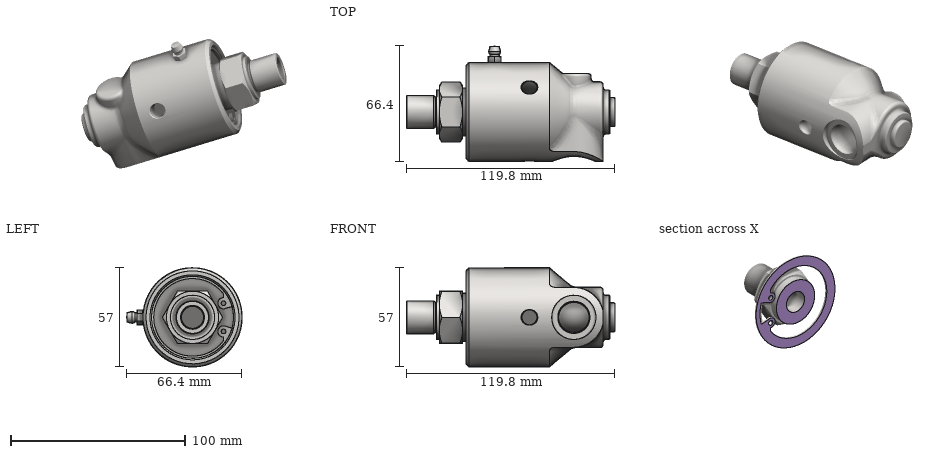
import cadquery as cq
import math


thread_end = 15.6
relief_start = 16.5
collar_start = 17.3
hex_start = 18.8
hex_end = 32.2
body_start = 34.1
cone_start = 82.1
body_end = 113.0
flange_end = 117.0
overall_length = 119.82
overall_width = 66.41

thread_diameter = 19.05
relief_diameter = 17.48
collar_diameter = 25.4
hex_across_flats = 30.0
hex_chamfer_length = 1.5
neck_diameter = 27.8
bore_diameter = 12.7
bore_chamfer = 0.5
tip_chamfer = 0.3

body_diameter = 57.0
body_chamfer = 1.8
rear_diameter = 34.8
cone_angle = 40.0
cone_blend_radius = 5.0
rear_round = 2.0

flange_diameter = 25.4
flange_base_round = 1.5
flange_chamfer = 0.7
stub_diameter = 16.8
stub_round = 1.0

port_x = 96.1
port_mouth_diameter = 18.5
port_taper = 1 / 16
spot_face_diameter = 25.4
spot_face_y = -25.3
shaft_diameter = 19.0
port_boss_half_width = 17.2
port_blend_radius = 5.0
back_boss_diameter = 20.0
back_boss_y = 22.2
back_boss_round = 2.0
back_boss_blend = 1.8

radial_hole_x = 70.6
radial_hole_diameter = 8.6
radial_hole_chamfer = 0.5
radial_hole_depth = 15.0
radial_hole_angles = (60.0, 180.0, 300.0)

recess_diameter = 47.07
recess_chamfer = 0.9
ring_setback = 1.5
ring_diameter = 50.75
ring_inner_diameter = 44.6
ring_thickness = 2.0
ring_lug_y = -17.8
ring_lug_z = 8.1
ring_lug_radius = 3.25
ring_hole_diameter = 2.64
ring_gap_half_angle = 15.3

fitting_x = 50.6
fitting_corner_diameter = 8.6
fitting_hex_top = 31.8
fitting_neck_top = 33.0
fitting_bulb_top = 34.9
fitting_top = 37.7
fitting_neck_diameter = 5.36
fitting_bulb_diameter = 6.9
fitting_stem_diameter = 5.0
fitting_ball_diameter = 2.0
fitting_stem_depth = 1.0
fitting_tip = overall_width - body_diameter / 2

skin_allowance = 10.0
edge_margin = 0.1

ring_start = body_start + ring_setback
recess_floor = ring_start + ring_thickness
body_radius = body_diameter / 2
rear_radius = rear_diameter / 2
cone_slope = math.tan(math.radians(cone_angle))
cone_end = cone_start + (body_radius - rear_radius) / cone_slope


def cylinder_x(diameter, start, end):
    """Cylinder on the main axis between two X stations."""
    return cq.Workplane("YZ").workplane(offset=start).circle(diameter / 2).extrude(end - start)


def cylinder_y(diameter, x, start, end):
    """Cylinder along Y at the given X, between two Y positions."""
    plane = cq.Plane(origin=(x, start, 0), xDir=(1, 0, 0), normal=(0, 1, 0))
    return cq.Workplane(plane).circle(diameter / 2).extrude(end - start)


def revolve_x(points):
    """Solid of revolution about the main axis from (x, radius) points."""
    return cq.Workplane("XY").polyline(points).close().revolve(360, (0, 0, 0), (1, 0, 0))


def make_oversize_core():
    """Body, cone and rear cylinder with the port boss blended in, all reaching past the body skin."""
    big_radius = body_radius + skin_allowance
    big_end = body_end + skin_allowance
    big_cone_start = cone_start - skin_allowance / cone_slope
    core = revolve_x([
        (body_start, 0),
        (body_start, big_radius),
        (big_cone_start, big_radius),
        (cone_end, rear_radius),
        (big_end, rear_radius),
        (big_end, 0),
    ])
    cone_foot = cq.selectors.BoxSelector(
        (cone_end - edge_margin, -big_radius, -big_radius),
        (cone_end + edge_margin, big_radius, big_radius))
    core = core.edges(cone_foot).fillet(cone_blend_radius)

    boss_plane = cq.Plane(origin=(port_x, 0, 0), xDir=(1, 0, 0), normal=(0, -1, 0))
    half_width = port_boss_half_width
    boss_back = body_start + body_chamfer - port_x
    boss = (
        cq.Workplane(boss_plane)
        .moveTo(boss_back, half_width)
        .lineTo(0, half_width)
        .threePointArc((half_width, 0), (0, -half_width))
        .lineTo(boss_back, -half_width)
        .close()
        .extrude(big_radius + skin_allowance)
    )
    core = core.union(boss)
    boss_foot = cq.selectors.BoxSelector(
        (big_cone_start, -big_radius, -big_radius),
        (big_end, -edge_margin, big_radius))
    return core.edges(boss_foot).edges("not |Y").fillet(port_blend_radius)


def make_core():
    """Outer shape of the body, without holes."""
    envelope = revolve_x([
        (body_start, 0),
        (body_start, body_radius - body_chamfer),
        (body_start + body_chamfer, body_radius),
        (body_end, body_radius),
        (body_end, 0),
    ])
    core = make_oversize_core().intersect(envelope)
    rear_rim = cq.selectors.BoxSelector(
        (body_end - edge_margin, -rear_radius, -rear_radius),
        (body_end + edge_margin, rear_radius, rear_radius))
    core = core.edges(rear_rim).fillet(rear_round)

    boss = cylinder_y(back_boss_diameter, port_x, 0, back_boss_y)
    boss = boss.faces(">Y").edges().fillet(back_boss_round)
    core = core.union(boss)
    boss_radius = back_boss_diameter / 2
    foot_top = back_boss_y - back_boss_round - edge_margin
    boss_foot = cq.selectors.BoxSelector(
        (port_x - boss_radius, rear_radius / 2, -boss_radius),
        (port_x + boss_radius, foot_top, boss_radius))
    return core.edges(boss_foot).fillet(back_boss_blend)


def cut_side_port(body):
    """Spot face and tapered port on -Y, opening onto the shaft inside the body."""
    spot_face = cylinder_y(spot_face_diameter, port_x, -body_radius, spot_face_y)
    mouth_radius = port_mouth_diameter / 2
    inner_radius = mouth_radius + spot_face_y * port_taper / 2
    port = (
        cq.Workplane("XY")
        .polyline([(0, spot_face_y), (mouth_radius, spot_face_y), (inner_radius, 0), (0, 0)])
        .close()
        .revolve(360, (0, 0, 0), (0, 1, 0))
        .translate((port_x, 0, 0))
    )
    shaft = cylinder_x(shaft_diameter, cone_start, body_end)
    return body.cut(spot_face).cut(port.cut(shaft))


def cut_radial_holes(body):
    """Blind holes with chamfered mouths, spread around the main axis."""
    hole_radius = radial_hole_diameter / 2
    mouth_radius = hole_radius + radial_hole_chamfer
    hole = (
        cq.Workplane("XY")
        .polyline([
            (0, body_radius - radial_hole_depth),
            (hole_radius, body_radius - radial_hole_depth),
            (hole_radius, body_radius - radial_hole_chamfer),
            (mouth_radius, body_radius),
            (0, body_radius),
        ])
        .close()
        .revolve(360, (0, 0, 0), (0, 1, 0))
        .translate((radial_hole_x, 0, 0))
    )
    for angle in radial_hole_angles:
        body = body.cut(hole.rotate((0, 0, 0), (1, 0, 0), angle))
    return body


def cut_recess(body):
    """Front recess with a chamfered mouth and the groove of the retaining ring."""
    recess_radius = recess_diameter / 2
    recess = revolve_x([
        (body_start, 0),
        (body_start, recess_radius + recess_chamfer),
        (body_start + recess_chamfer, recess_radius),
        (ring_start, recess_radius),
        (ring_start, ring_diameter / 2),
        (recess_floor, ring_diameter / 2),
        (recess_floor, 0),
    ])
    return body.cut(recess)


def make_retaining_ring():
    """Internal retaining ring, open toward -Y, with two lugs that carry plier holes."""
    plane = cq.Workplane("YZ").workplane(offset=ring_start)
    ring_radius = ring_diameter / 2
    opening = plane.circle(ring_inner_diameter / 2).extrude(ring_thickness)
    lug_side = plane.center(ring_lug_y - ring_radius, 0).rect(2 * ring_radius, ring_diameter)
    opening = opening.cut(lug_side.extrude(ring_thickness))
    gap_reach = 2 * ring_radius
    gap_half_width = gap_reach * math.tan(math.radians(ring_gap_half_angle))
    gap = (
        plane.polyline([(0, 0), (-gap_reach, gap_half_width), (-gap_reach, -gap_half_width)])
        .close()
        .extrude(ring_thickness)
    )
    lug_centers = [(ring_lug_y, ring_lug_z), (ring_lug_y, -ring_lug_z)]
    lugs = plane.pushPoints(lug_centers).circle(ring_lug_radius).extrude(ring_thickness)
    plier_holes = plane.pushPoints(lug_centers).circle(ring_hole_diameter / 2).extrude(ring_thickness)
    ring = plane.circle(ring_radius).extrude(ring_thickness)
    return ring.cut(opening).cut(gap).union(lugs).cut(plier_holes)


def make_spindle():
    """Threaded spindle with collar, hexagon and neck; the bore is cut last."""
    thread_radius = thread_diameter / 2
    spindle = revolve_x([
        (0, 0),
        (0, thread_radius - tip_chamfer),
        (tip_chamfer, thread_radius),
        (thread_end, thread_radius),
        (relief_start, relief_diameter / 2),
        (collar_start, relief_diameter / 2),
        (collar_start, collar_diameter / 2),
        (hex_start, collar_diameter / 2),
        (hex_end, neck_diameter / 2),
        (recess_floor, neck_diameter / 2),
        (recess_floor, 0),
    ])
    hex_length = hex_end - hex_start
    corner_diameter = hex_across_flats / math.cos(math.radians(30))
    hexagon = cq.Workplane("YZ").workplane(offset=hex_start).polygon(6, corner_diameter).extrude(hex_length)
    flat_radius = hex_across_flats / 2
    corner_radius = corner_diameter / 2
    turned = revolve_x([
        (hex_start, 0),
        (hex_start, flat_radius),
        (hex_start + hex_chamfer_length, corner_radius),
        (hex_end - hex_chamfer_length, corner_radius),
        (hex_end, flat_radius),
        (hex_end, 0),
    ])
    return spindle.union(hexagon.intersect(turned))


def cut_bore(body):
    """Axial bore from the spindle tip to the side port."""
    bore_radius = bore_diameter / 2
    bore = revolve_x([
        (0, 0),
        (0, bore_radius + bore_chamfer),
        (bore_chamfer, bore_radius),
        (port_x, bore_radius),
        (port_x, 0),
    ])
    return body.cut(bore)


def make_rear_end():
    """Flange and stub behind the body."""
    flange_base = cylinder_x(rear_diameter - 2 * rear_round, body_end - rear_round, body_end)
    flange = cylinder_x(flange_diameter, body_end, flange_end).faces(">X").chamfer(flange_chamfer)
    stub = cylinder_x(stub_diameter, flange_end, overall_length)
    stub = stub.faces(">X").edges().fillet(stub_round)
    flange = flange_base.union(flange)
    flange_radius = flange_diameter / 2
    flange_foot = cq.selectors.BoxSelector(
        (body_end - edge_margin, -flange_radius, -flange_radius),
        (body_end + edge_margin, flange_radius, flange_radius))
    flange = flange.edges(flange_foot).edges(cq.selectors.RadiusNthSelector(0)).fillet(flange_base_round)
    return flange.union(stub)


def make_grease_fitting():
    """Hexagonal grease fitting on +Y."""
    neck_radius = fitting_neck_diameter / 2
    bulb_radius = fitting_bulb_diameter / 2
    bulb_height = fitting_bulb_top - fitting_neck_top
    bulb_depth = bulb_radius - neck_radius
    bulb_round = (bulb_height ** 2 + bulb_depth ** 2) / (2 * bulb_depth)
    ball_radius = fitting_ball_diameter / 2
    nipple = (
        cq.Workplane("XY")
        .moveTo(0, body_radius)
        .lineTo(neck_radius, body_radius)
        .lineTo(neck_radius, fitting_neck_top)
        .radiusArc((bulb_radius, fitting_bulb_top), -bulb_round)
        .lineTo(neck_radius, fitting_top)
        .lineTo(0, fitting_top)
        .close()
        .revolve(360, (0, 0, 0), (0, 1, 0))
    )
    ball = cq.Workplane("XY").sphere(ball_radius).translate((0, fitting_tip - ball_radius, 0))
    hexagon = (
        cq.Workplane("XZ", origin=(0, fitting_hex_top, 0))
        .polygon(6, fitting_corner_diameter)
        .extrude(fitting_hex_top - body_radius)
        .rotate((0, 0, 0), (0, 1, 0), 30)
    )
    stem = cylinder_y(fitting_stem_diameter, 0, body_radius - fitting_stem_depth, body_radius)
    fitting = nipple.union(ball).union(hexagon).union(stem)
    return fitting.translate((fitting_x, 0, 0))


body = make_core()
body = cut_side_port(body)
body = cut_radial_holes(body)
body = cut_recess(body)
body = body.union(make_retaining_ring()).union(make_spindle())
body = body.union(make_rear_end())
body = body.union(make_grease_fitting())
result = cut_bore(body)